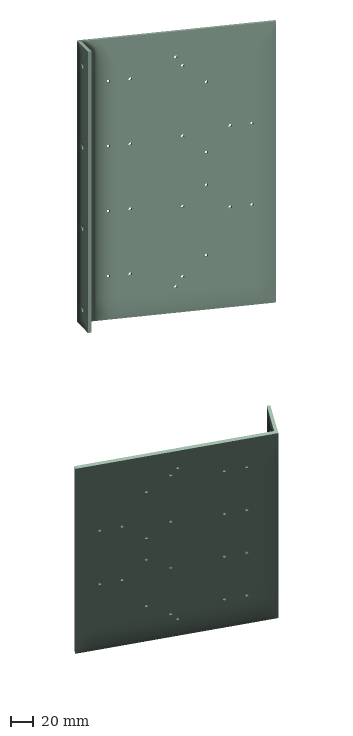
import cadquery as cq

height = 260.0
depth = 182.0
flange_width = 32.0
thickness = 3.0
mid_height = height / 2

flange_hole_diameter = 6.0
flange_hole_x = 17.0
flange_hole_count = 4
flange_hole_pitch = 75.1

panel_hole_diameter = 3.0
grid_columns = (28.0, 48.0)
grid_count = 4
grid_pitch = 60.0
rear_columns = (140.0, 160.0)
rear_count = 2
row_column = 96.2
row_count = 4
row_pitch = 65.0
pair_column = 118.0
pair_pitch = row_pitch
pair_center_offset = 47.5
outer_column = 90.0
outer_count = 2
outer_spacing = 212.2


def spread(count, pitch):
    """Heights of evenly pitched holes, centred on the plate's mid-height."""
    return [mid_height + (i - (count - 1) / 2) * pitch for i in range(count)]


def panel_hole_points():
    """(Y, Z) centres of all holes through the panel."""
    points = [(y, z) for y in grid_columns for z in spread(grid_count, grid_pitch)]
    points += [(y, z) for y in rear_columns for z in spread(rear_count, flange_hole_pitch)]
    points += [(row_column, z) for z in spread(row_count, row_pitch)]
    points += [(outer_column, z) for z in spread(outer_count, outer_spacing)]
    for side in (-1, 1):
        for z in spread(2, pair_pitch):
            points.append((pair_column, z + side * pair_center_offset))
    return points


def angle_body():
    panel = cq.Workplane("XY").box(thickness, depth, height, centered=False)
    flange = cq.Workplane("XY").box(flange_width, thickness, height, centered=False)
    return panel.union(flange)


def panel_holes():
    return (
        cq.Workplane("YZ")
        .pushPoints(panel_hole_points())
        .circle(panel_hole_diameter / 2)
        .extrude(thickness)
    )


def flange_holes():
    centers = [(flange_hole_x, z) for z in spread(flange_hole_count, flange_hole_pitch)]
    return (
        cq.Workplane("XZ")
        .pushPoints(centers)
        .circle(flange_hole_diameter / 2)
        .extrude(-thickness)
    )


result = angle_body().cut(panel_holes()).cut(flange_holes())